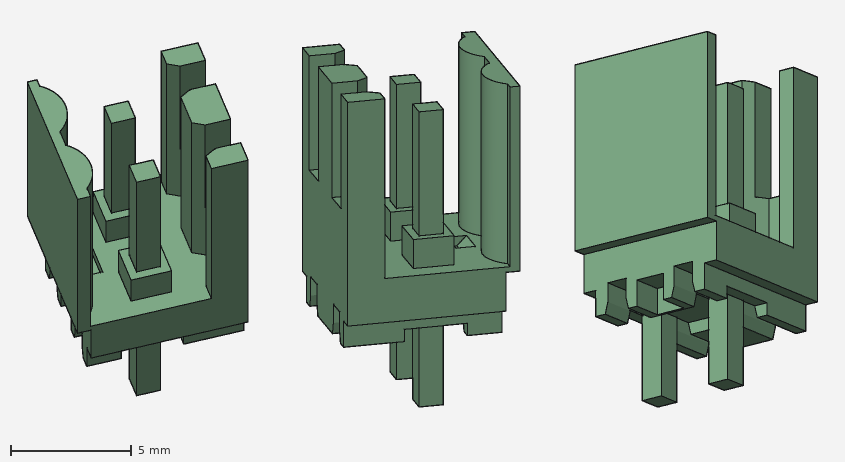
import cadquery as cq
import math

width = 7.0
back_y = 3.96
wall_front_y = back_y - 7.45
body_front_y = back_y - 6.85
top_z = 14.25
floor_z = 6.3
wall_bottom_z = 6.05

foot_bottom_z = 3.19
foot_top_z = 4.35
foot_width = 5.75

pitch = 3.5
pin_xs = [-pitch / 2, pitch / 2]
pin_width = 1.01
pin_depth = 1.05
pin_top_z = 13.07
pedestal_size = 1.77
pedestal_top_z = 7.58

bump_radius = 1.7
bump_peak_y = back_y - 6.33
bump_centre_y = bump_peak_y - bump_radius
left_land_y = wall_front_y + 0.43
middle_land_y = wall_front_y + 0.45
right_land_y = wall_front_y + 0.57

post_front_y = back_y - 1.61
recess_back_y = back_y - 0.57
recess_back_width = 0.75
recess_front_width = 1.98
window_width = 1.4
sill_z = 9.19

latch_width = 1.4
latch_back_y = back_y - 5.47
latch_front_y = back_y - 6.31
ramp_back_y = (latch_back_y + latch_front_y) / 2
latch_depth = ramp_back_y - latch_front_y

channel_back_y = back_y - 2.62
channel_front_y = back_y - 5.35
channel_top_z = 3.73
slot_width = 0.95
slot_mouth_width = 1.23
slot_flare_z = 3.7
slot_top_z = 4.55


def block(x_size, y_min, y_max, z_min, z_max, x=0):
    """Box centred on x, spanning the given Y and Z ranges."""
    return (
        cq.Workplane("XY")
        .box(x_size, y_max - y_min, z_max - z_min, centered=(True, False, False))
        .translate((x, y_min, z_min))
    )


def make_body():
    """Body slab, with the narrower foot below it."""
    slab = block(width, body_front_y, back_y, foot_top_z, floor_z)
    foot = block(foot_width, body_front_y, back_y, foot_bottom_z, foot_top_z)
    return slab.union(foot)


def make_front_wall():
    """Overhanging front wall with one rounded bump in front of each pin."""
    def half_chord(land_y):
        return math.sqrt(bump_radius**2 - (land_y - bump_centre_y) ** 2)

    left_x, right_x = pin_xs
    profile = (
        cq.Workplane("XY")
        .workplane(offset=floor_z)
        .moveTo(-width / 2, wall_front_y)
        .lineTo(-width / 2, left_land_y)
        .lineTo(left_x - half_chord(left_land_y), left_land_y)
        .threePointArc((left_x, bump_peak_y), (left_x + half_chord(middle_land_y), middle_land_y))
        .lineTo(right_x - half_chord(middle_land_y), middle_land_y)
        .threePointArc((right_x, bump_peak_y), (right_x + half_chord(right_land_y), right_land_y))
        .lineTo(width / 2, right_land_y)
        .lineTo(width / 2, wall_front_y)
        .close()
    )
    wall = profile.extrude(top_z - floor_z)
    lip = block(width, wall_front_y, body_front_y, wall_bottom_z, floor_z)
    return wall.union(lip)


def make_rear_posts():
    """Rear wall split into three posts by flared recesses and windows."""
    posts = block(width, post_front_y, back_y, floor_z, top_z)
    for x in pin_xs:
        recess = (
            cq.Workplane("XY")
            .workplane(offset=floor_z)
            .moveTo(x - recess_front_width / 2, post_front_y)
            .lineTo(x - recess_back_width / 2, recess_back_y)
            .lineTo(x + recess_back_width / 2, recess_back_y)
            .lineTo(x + recess_front_width / 2, post_front_y)
            .close()
            .extrude(top_z - floor_z)
        )
        window = block(window_width, post_front_y, back_y, sill_z, top_z, x)
        posts = posts.cut(recess).cut(window)
    return posts


def make_pedestal(x):
    """Square pedestal around one pin."""
    return block(pedestal_size, -pedestal_size / 2, pedestal_size / 2, floor_z, pedestal_top_z, x)


def make_latch_pocket():
    """Blind pocket in the floor whose front half ramps up to floor level."""
    pocket_z = floor_z - latch_depth
    return (
        cq.Workplane("YZ")
        .workplane(offset=-latch_width / 2)
        .moveTo(latch_back_y, floor_z)
        .lineTo(latch_back_y, pocket_z)
        .lineTo(ramp_back_y, pocket_z)
        .lineTo(latch_front_y, floor_z)
        .close()
        .extrude(latch_width)
    )


def make_foot_slot(x):
    """Slot along Y under one pin, flared at its lower mouth."""
    return (
        cq.Workplane("XZ", origin=(x, back_y, 0))
        .moveTo(-slot_mouth_width / 2, foot_bottom_z)
        .lineTo(-slot_width / 2, slot_flare_z)
        .lineTo(-slot_width / 2, slot_top_z)
        .lineTo(slot_width / 2, slot_top_z)
        .lineTo(slot_width / 2, slot_flare_z)
        .lineTo(slot_mouth_width / 2, foot_bottom_z)
        .close()
        .extrude(back_y - body_front_y)
    )


def make_pin(x):
    """Straight rectangular pin."""
    return block(pin_width, -pin_depth / 2, pin_depth / 2, 0, pin_top_z, x)


def make_housing():
    """Complete housing with a matching through hole for each pin."""
    body = make_body().union(make_front_wall()).union(make_rear_posts())
    channel = block(width, channel_front_y, channel_back_y, foot_bottom_z, channel_top_z)
    latch_notch = block(latch_width, body_front_y, latch_back_y, foot_bottom_z, foot_top_z)
    body = body.cut(make_latch_pocket()).cut(channel).cut(latch_notch)
    for x in pin_xs:
        body = body.union(make_pedestal(x)).cut(make_foot_slot(x)).cut(make_pin(x))
    return body.solids().val()


housing = make_housing()
pins = [make_pin(x).val() for x in pin_xs]

result = cq.Compound.makeCompound([housing, *pins])